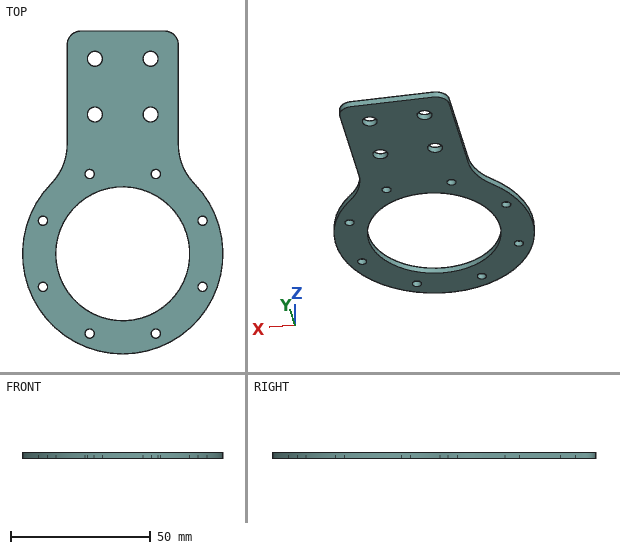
import cadquery as cq
import math

thickness = 2.3
ring_outer_radius = 36.0
ring_bore_diameter = 48.0
ring_hole_diameter = 3.24
ring_hole_circle_radius = 31.0
ring_hole_count = 8

tab_width = 40.0
tab_end_y = 80.0
tab_corner_radius = 5.0
neck_fillet_radius = 20.0
tab_hole_diameter = 5.3
tab_hole_spacing = 20.0
tab_hole_edge_distance = 10.0

tab_half_width = tab_width / 2
neck_center_x = tab_half_width + neck_fillet_radius
neck_center_distance = ring_outer_radius + neck_fillet_radius
neck_center_y = math.sqrt(neck_center_distance**2 - neck_center_x**2)
ring_tangent_x = neck_center_x * ring_outer_radius / neck_center_distance
ring_tangent_y = neck_center_y * ring_outer_radius / neck_center_distance


def make_plate():
    """Flat plate: a disc blended into a straight tab with rounded end corners."""
    plate = (
        cq.Workplane("XY")
        .moveTo(-tab_half_width, tab_end_y)
        .lineTo(tab_half_width, tab_end_y)
        .lineTo(tab_half_width, neck_center_y)
        .radiusArc((ring_tangent_x, ring_tangent_y), -neck_fillet_radius)
        .threePointArc((0, -ring_outer_radius), (-ring_tangent_x, ring_tangent_y))
        .radiusArc((-tab_half_width, neck_center_y), -neck_fillet_radius)
        .close()
        .extrude(thickness)
    )
    end_corners = plate.faces(">Y").edges("|Z")
    return end_corners.fillet(tab_corner_radius)


def cut_ring_holes(plate):
    """Central bore and the circle of small holes, straddling the X and Y axes."""
    first_hole_angle = 180.0 / ring_hole_count
    return (
        plate.faces(">Z")
        .workplane(origin=(0, 0, thickness))
        .hole(ring_bore_diameter)
        .faces(">Z")
        .workplane(origin=(0, 0, thickness))
        .polarArray(ring_hole_circle_radius, first_hole_angle, 360, ring_hole_count)
        .hole(ring_hole_diameter)
    )


def cut_tab_holes(plate):
    """Square pattern of four mounting holes near the end of the tab."""
    pattern_center_y = tab_end_y - tab_hole_edge_distance - tab_hole_spacing / 2
    return (
        plate.faces(">Z")
        .workplane(origin=(0, pattern_center_y, thickness))
        .rarray(tab_hole_spacing, tab_hole_spacing, 2, 2)
        .hole(tab_hole_diameter)
    )


result = cut_tab_holes(cut_ring_holes(make_plate()))